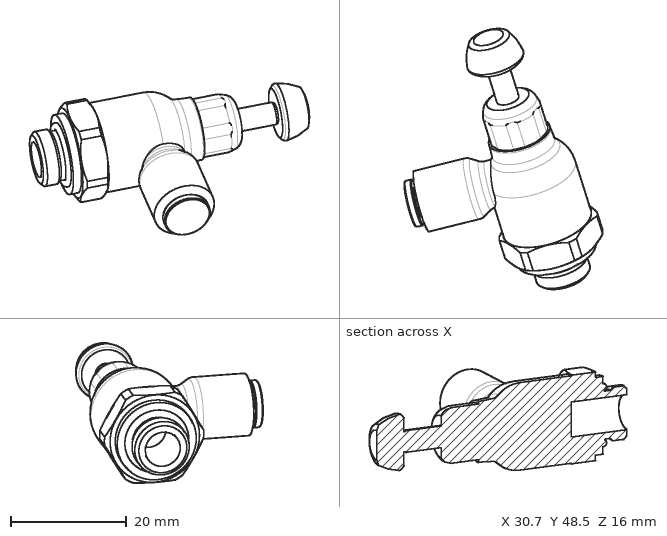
import cadquery as cq
import math


thread_r = 4.85
thread_chamfer = 0.6
thread_back_start = 2.7
thread_back_end = 3.2
groove_r = 4.35
bore_r = 3.1

ring_outer_r = 5.68
ring_section_r = (ring_outer_r - groove_r) / 2
ring_y = 3.9 + ring_section_r
washer_r = 7.05
washer_y = 4.6

hex_start = 6.05
hex_end = 10.75
hex_flats = 16.0
hex_corner_r = 8.85
hex_face_r = 7.95
hex_chamfer = 0.55

body_r = 7.9
dome_start = 20.85
dome_end = 24.95
dome_end_r = 6.2
sleeve_start = 26.25
sleeve_start_r = 5.68
collar_start = 28.48
sleeve_end = 28.75
sleeve_end_r = 5.55

knob_r = 5.15
knob_flat_width = 2.05
knob_flat_count = 6
knob_taper_start = 33.7
knob_round_start = 34.9
knob_round_r = 4.8
knob_end = 36.05
knob_end_r = 3.8
stem_r = 2.0
stem_neck_r = 1.8
stem_chamfer = 0.4
cap_start = 43.15
cap_face_r = 4.3
cap_bevel_end = 43.5
cap_bevel_r = 4.75
cap_rim = 44.1
cap_rim_r = 5.1
cap_mid = 46.1
cap_mid_r = 4.65
cap_shoulder = 48.1
cap_shoulder_r = 3.7
cap_top = 48.5
cap_top_r = 2.65

branch_y = dome_start
branch_r = 5.45
neck_r = 4.1
flare_start = 7.45
cone_start = 8.45
cone_start_r = 4.35
cone_end = 9.8
cone_end_r = 5.2
barrel_start = 10.8
barrel_end = 19.8
collet_neck_r = 2.6
collet_start = 20.45
collet_end = 21.85
collet_r = 4.1
collet_chamfer = 0.2


def turn(profile):
    """Close a (radius, y) outline and revolve it about the main axis."""
    return profile.close().revolve(360, (0, 0), (0, 1))


def cylinder(radius, start, end):
    """Plain cylinder on the main axis between two Y positions."""
    return turn(
        cq.Workplane("XY")
        .moveTo(0, start)
        .lineTo(radius, start)
        .lineTo(radius, end)
        .lineTo(0, end)
    )


def make_spigot():
    """Threaded nose with its undercut, sealing ring and washer."""
    nose = turn(
        cq.Workplane("XY")
        .lineTo(thread_r - thread_chamfer, 0)
        .lineTo(thread_r, thread_chamfer)
        .lineTo(thread_r, thread_back_start)
        .lineTo(groove_r, thread_back_end)
        .lineTo(groove_r, washer_y)
        .lineTo(0, washer_y)
    )
    ring = (
        cq.Workplane("XY")
        .center(groove_r + ring_section_r, ring_y)
        .circle(ring_section_r)
        .revolve(360, (-groove_r - ring_section_r, 0), (-groove_r - ring_section_r, 1))
    )
    return nose.union(cylinder(washer_r, washer_y, hex_start)).union(ring)


def make_hex_nut():
    """Hexagon with corners on the X axis, trimmed round and chamfered at both faces."""
    across_corners = hex_flats / math.cos(math.pi / 6)
    prism = (
        cq.Workplane("XZ", origin=(0, hex_start, 0))
        .polygon(6, across_corners)
        .extrude(hex_start - hex_end)
    )
    envelope = turn(
        cq.Workplane("XY")
        .moveTo(0, hex_start)
        .lineTo(hex_face_r, hex_start)
        .lineTo(hex_corner_r, hex_start + hex_chamfer)
        .lineTo(hex_corner_r, hex_end - hex_chamfer)
        .lineTo(hex_face_r, hex_end)
        .lineTo(0, hex_end)
    )
    return prism.intersect(envelope)


def make_body():
    """Round body whose dome blends into a slightly tapered sleeve with a straight collar."""
    return turn(
        cq.Workplane("XY")
        .moveTo(0, hex_end)
        .lineTo(body_r, hex_end)
        .lineTo(body_r, dome_start)
        .tangentArcPoint((dome_end_r, dome_end), relative=False)
        .tangentArcPoint((sleeve_start_r, sleeve_start), relative=False)
        .lineTo(sleeve_end_r, collar_start)
        .lineTo(sleeve_end_r, sleeve_end)
        .lineTo(0, sleeve_end)
    )


def make_knob():
    """Adjusting knob with a rounded end and narrow grip flats around it."""
    knob = turn(
        cq.Workplane("XY")
        .moveTo(0, sleeve_end)
        .lineTo(knob_r, sleeve_end)
        .lineTo(knob_r, knob_taper_start)
        .lineTo(knob_round_r, knob_round_start)
        .tangentArcPoint((knob_end_r, knob_end), relative=False)
        .lineTo(0, knob_end)
    )
    flat_distance = math.sqrt(knob_r**2 - (knob_flat_width / 2) ** 2)
    length = knob_end - sleeve_end
    for index in range(knob_flat_count):
        cutter = (
            cq.Workplane("XY")
            .box(knob_r, length, knob_r, centered=(True, False, False))
            .translate((0, sleeve_end, flat_distance))
            .rotate((0, 0, 0), (0, 1, 0), index * 360 / knob_flat_count)
        )
        knob = knob.cut(cutter)
    return knob


def make_stem_and_cap():
    """Thin stem carrying the domed push cap."""
    return turn(
        cq.Workplane("XY")
        .moveTo(0, knob_end)
        .lineTo(stem_r, knob_end)
        .lineTo(stem_r, cap_start - stem_chamfer)
        .lineTo(stem_neck_r, cap_start)
        .lineTo(cap_face_r, cap_start)
        .lineTo(cap_bevel_r, cap_bevel_end)
        .tangentArcPoint((cap_rim_r, cap_rim), relative=False)
        .threePointArc((cap_mid_r, cap_mid), (cap_shoulder_r, cap_shoulder))
        .lineTo(cap_top_r, cap_top)
        .lineTo(0, cap_top)
    )


def make_branch():
    """Side branch: neck, flared cone, barrel and release collet, turned about X."""
    return (
        cq.Workplane("XY", origin=(0, branch_y, 0))
        .lineTo(0, neck_r)
        .lineTo(flare_start, neck_r)
        .tangentArcPoint((cone_start, cone_start_r), relative=False)
        .lineTo(cone_end, cone_end_r)
        .tangentArcPoint((barrel_start, branch_r), relative=False)
        .lineTo(barrel_end, branch_r)
        .lineTo(barrel_end, collet_neck_r)
        .lineTo(collet_start, collet_neck_r)
        .lineTo(collet_start, collet_r - collet_chamfer)
        .lineTo(collet_start + collet_chamfer, collet_r)
        .lineTo(collet_end - collet_chamfer, collet_r)
        .lineTo(collet_end, collet_r - collet_chamfer)
        .lineTo(collet_end, 0)
        .close()
        .revolve(360, (0, 0), (1, 0))
    )


result = (
    make_spigot()
    .union(make_hex_nut())
    .union(make_body())
    .union(make_knob())
    .union(make_stem_and_cap())
    .union(make_branch())
)

result = result.cut(cylinder(bore_r, 0, hex_end))